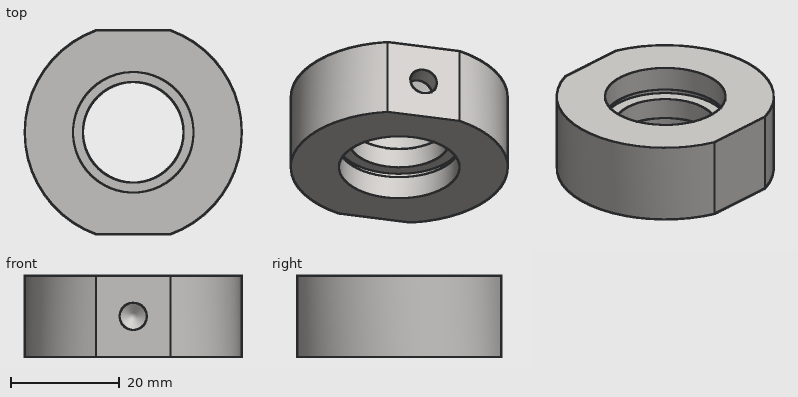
import cadquery as cq
import math

outer_diameter = 40.0
across_flats = 37.6
height = 15.0

bore_diameter = 18.5
recess_diameter = 22.2
recess_depth = 5.5
groove_width = 1.0
groove_depth = 0.5

drill_diameter = 5.0
drill_depth = 4.0
drill_tip_angle = 118.0


def ring_body():
    """Disc with two parallel flats facing -Y and +Y."""
    disc = cq.Workplane("XY").circle(outer_diameter / 2).extrude(height)
    flats = cq.Workplane("XY").rect(outer_diameter, across_flats).extrude(height)
    return disc.intersect(flats)


def through_bore():
    """Narrow bore that leaves a land at mid height."""
    return cq.Workplane("XY").circle(bore_diameter / 2).extrude(height)


def top_recess():
    """Wide recess with an undercut groove against its floor."""
    floor_z = height - recess_depth
    recess = (
        cq.Workplane("XY", origin=(0, 0, floor_z))
        .circle(recess_diameter / 2)
        .extrude(recess_depth)
    )
    groove = (
        cq.Workplane("XY", origin=(0, 0, floor_z))
        .circle(recess_diameter / 2 + groove_depth)
        .extrude(groove_width)
    )
    return recess.union(groove)


def drilled_hole():
    """Drill shape with a conical tip, entering from the -Y flat at mid height."""
    radius = drill_diameter / 2
    tip_length = radius / math.tan(math.radians(drill_tip_angle / 2))
    flat_y = -across_flats / 2
    shoulder_y = flat_y + drill_depth
    return (
        cq.Workplane("XY", origin=(0, 0, height / 2))
        .moveTo(0, flat_y)
        .lineTo(radius, flat_y)
        .lineTo(radius, shoulder_y)
        .lineTo(0, shoulder_y + tip_length)
        .close()
        .revolve(360, (0, 0, 0), (0, 1, 0))
    )


upper_recess = top_recess()
lower_recess = upper_recess.mirror("XY", (0, 0, height / 2))

result = (
    ring_body()
    .cut(through_bore())
    .cut(upper_recess)
    .cut(lower_recess)
    .cut(drilled_hole())
)